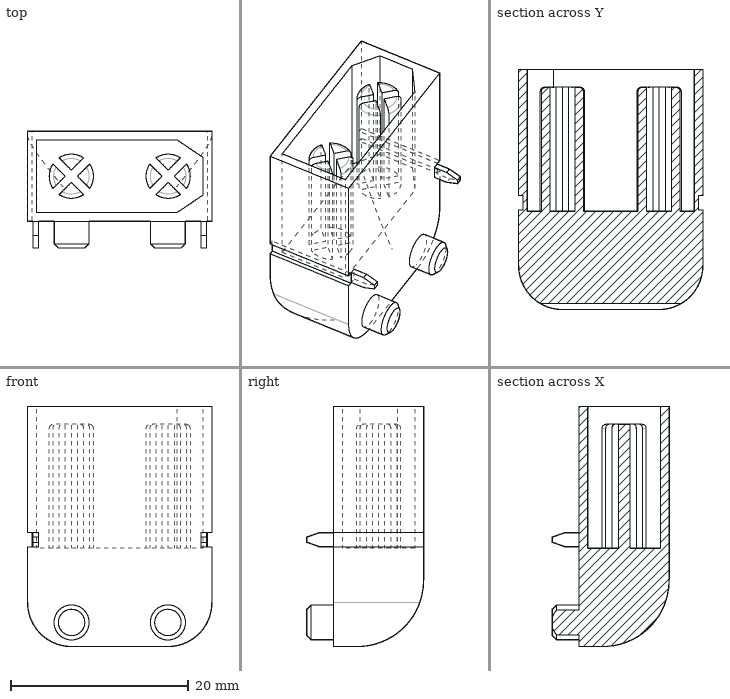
import cadquery as cq

width = 20.8
depth = 10.2
height = 27.1
side_radius = 4.99
back_radius = 7.5

wall = 1.0
cavity_depth = 16.0
corner_cut_x = 2.93
corner_cut_y = 1.98

contact_spacing = 10.92
contact_diameter = 4.99
contact_top_gap = 2.0
contact_rounding = 0.5
slot_width = 0.98

reach = 3.0
peg_spacing = 10.87
peg_diameter = 3.95
peg_chamfer = 0.5
peg_height = 2.75

groove_bottom = 11.27
groove_height = 1.6
groove_depth = 0.5
tab_setback = 0.6
tab_thickness = 0.65
tab_straight = 1.6
tab_tip_height = 0.6

sides = (-1, 1)
cavity_floor = height - cavity_depth
groove_middle = groove_bottom + groove_height / 2


def make_housing():
    """Block with rounded lower side corners and a rounded lower back edge."""
    block = cq.Workplane("XY").box(width, depth, height, centered=(True, False, False))
    side_profile = block.edges("|Y and <Z").fillet(side_radius)
    back_profile = block.edges("|X and <Z and >Y").fillet(back_radius)
    return side_profile.intersect(back_profile)


def make_cavity():
    """Void that receives the mating plug."""
    left = -width / 2 + wall
    right = width / 2 - wall
    front = wall
    back = depth - wall
    outline = [
        (left, front),
        (right - corner_cut_x, front),
        (right, front + corner_cut_y),
        (right, back - corner_cut_y),
        (right - corner_cut_x, back),
        (left, back),
    ]
    return cq.Workplane("XY", origin=(0, 0, cavity_floor)).polyline(outline).close().extrude(cavity_depth)


def make_contact(x):
    """Round pin with a rounded top rim, split by two crossed diagonal slots down to the cavity floor."""
    length = cavity_depth - contact_top_gap
    pin = cq.Workplane("XY").circle(contact_diameter / 2).extrude(length)
    pin = pin.faces(">Z").edges().fillet(contact_rounding)
    slot = cq.Workplane("XY").rect(2 * contact_diameter, slot_width).extrude(length)
    for angle in (45, -45):
        pin = pin.cut(slot.rotate((0, 0, 0), (0, 0, 1), angle))
    return pin.translate((x, depth / 2, cavity_floor))


def make_peg(x):
    """Locating peg with a chamfered tip."""
    peg = cq.Workplane("XZ", origin=(x, 0, peg_height)).circle(peg_diameter / 2).extrude(reach)
    return peg.faces("<Y").chamfer(peg_chamfer)


def make_groove(side):
    """Slot across the full depth of one side wall."""
    center_x = side * (width - groove_depth) / 2
    return cq.Workplane("XY").box(groove_depth, depth, groove_height).translate(
        (center_x, depth / 2, groove_middle)
    )


def make_tab(side):
    """Flat retention tab, set just inside the groove floor and tapered to its tip."""
    center_x = side * (width / 2 - tab_setback - tab_thickness / 2)
    outline = [
        (0, -groove_height / 2),
        (-tab_straight, -groove_height / 2),
        (-reach, -tab_tip_height / 2),
        (-reach, tab_tip_height / 2),
        (-tab_straight, groove_height / 2),
        (0, groove_height / 2),
    ]
    tab = cq.Workplane("YZ").polyline(outline).close().extrude(tab_thickness / 2, both=True)
    return tab.translate((center_x, 0, groove_middle))


result = make_housing().cut(make_cavity())
for side in sides:
    result = result.cut(make_groove(side)).union(make_tab(side))
    result = result.union(make_contact(side * contact_spacing / 2))
    result = result.union(make_peg(side * peg_spacing / 2))